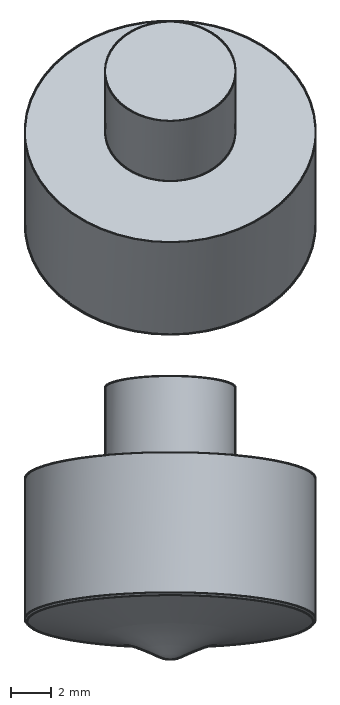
import cadquery as cq
import math

body_diameter = 14.5
pin_diameter = 6.5
pin_length = 4.62
body_height = 7.1
total_height = 13.76
rim_chamfer = 0.12

shallow_angle = math.radians(11.1)
steep_angle = math.radians(26.0)
flare_radius = 8.7
tip_radius = 1.25

body_radius = body_diameter / 2
pin_radius = pin_diameter / 2
rim_radius = body_radius - rim_chamfer
rim_bottom_z = -body_height - rim_chamfer
tip_z = pin_length - total_height


def point_on_arc(center, radius, angle):
    """Point on an arc where the profile slopes at the given angle from horizontal."""
    center_r, center_z = center
    return (center_r + radius * math.sin(angle), center_z - radius * math.cos(angle))


tip_center = (0, tip_z + tip_radius)
tip_end = point_on_arc(tip_center, tip_radius, steep_angle)
tip_middle = point_on_arc(tip_center, tip_radius, steep_angle / 2)

corner_r = (
    rim_bottom_z - rim_radius * math.tan(shallow_angle)
    - tip_end[1] + tip_end[0] * math.tan(steep_angle)
) / (math.tan(steep_angle) - math.tan(shallow_angle))
corner_z = tip_end[1] + (corner_r - tip_end[0]) * math.tan(steep_angle)

mean_angle = (shallow_angle + steep_angle) / 2
half_turn = (steep_angle - shallow_angle) / 2
center_distance = flare_radius / math.cos(half_turn)
flare_center = (
    corner_r + center_distance * math.sin(mean_angle),
    corner_z - center_distance * math.cos(mean_angle),
)
flare_inner = point_on_arc(flare_center, -flare_radius, steep_angle)
flare_middle = point_on_arc(flare_center, -flare_radius, mean_angle)
flare_outer = point_on_arc(flare_center, -flare_radius, shallow_angle)

profile = (
    cq.Workplane("XZ")
    .moveTo(0, tip_z)
    .threePointArc(tip_middle, tip_end)
    .lineTo(*flare_inner)
    .threePointArc(flare_middle, flare_outer)
    .lineTo(rim_radius, rim_bottom_z)
    .lineTo(body_radius, -body_height)
    .lineTo(body_radius, 0)
    .lineTo(pin_radius, 0)
    .lineTo(pin_radius, pin_length)
    .lineTo(0, pin_length)
    .close()
)

result = profile.revolve(360, (0, 0, 0), (0, 1, 0))